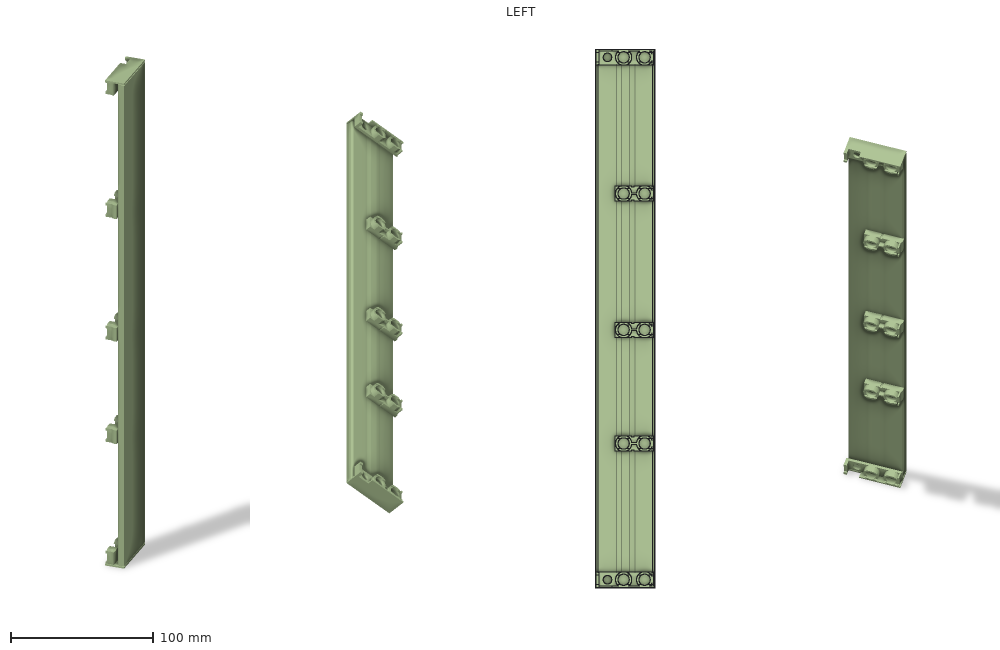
import cadquery as cq
LENGTH = 378.5
WIDTH = 41.5
DEPTH = 14.5
HALF_WIDTH = WIDTH / 2

RAIL_END_Z = 2.0
RAIL_BACK_LIP = 1.0
RAIL_SIDE_INSET = 0.5
RIDGE_X = 8.7
RAIL_FRONT_X = 9.0
RIDGE_FOOT_UPPER_Y = 6.0
RIDGE_TOP_UPPER_Y = 2.5
RIDGE_TOP_LOWER_Y = -3.0
RIDGE_FOOT_LOWER_Y = -7.0
RAIL_BEVEL = 1.0

PIN_DIAMETER = 2.7
PIN_TIP_Z = 7.5
PIN_X = 10.5
PIN_YS = (18.5, 6.5, -5.3, -17.8)

SOCKET_YS = (1.0, -13.5)
SOCKET_BORE = 8.0
SOCKET_RADIUS = 5.5
CLIP_HALF_HEIGHT = 5.3
CHANNEL_DEPTH = 1.0
CHANNEL_HALF_HEIGHT = 3.5

PLATE_FRONT_X = 4.5
PLATE_BACK_X = 6.5
PLATE_BEVEL_Y = 1.02
WALL_Y = -HALF_WIDTH + PLATE_BEVEL_Y
WALL_THICKNESS = 0.95
PAD_UPPER_Y = 7.2
PAD_GAP = (-4.5, -6.0)
NECK_HALF_HEIGHT = 4.5
RIB_THICKNESS = 1.0

BRACKET_AXIS_Z = 5.5
CAP_THICKNESS = 1.2
CAP_FRONT_X = 4.0
CAP_STEP_Y = 9.5
ARM_THICKNESS = 2.3
PLATE_HOLE_DIAMETER = 6.0
PLATE_HOLE_Y = 12.5

MIDDLE_CLIP_ZS = (101.5, 181.3, 277.0)


def block(x_range, y_range, z_range):
    """A box given by its two limits along each axis."""
    (x0, x1), (y0, y1), (z0, z1) = (sorted(limits) for limits in (x_range, y_range, z_range))
    return cq.Workplane("XY").box(x1 - x0, y1 - y0, z1 - z0, centered=False).translate((x0, y0, z0))


def rod(diameter, x_range, y, z):
    """A cylinder along X."""
    x0, x1 = x_range
    return cq.Workplane("YZ", origin=(x0, y, z)).circle(diameter / 2).extrude(x1 - x0)


def mirrored_to_top(lower):
    """The mirror image, at the top end, of something at the bottom end."""
    return lower.mirror("XY", (0, 0, LENGTH / 2))


def pins(start_z):
    """The row of pins at the bottom end, from a given height up to their tips."""
    centres = [(PIN_X, y) for y in PIN_YS]
    base = cq.Workplane("XY", origin=(0, 0, start_z)).pushPoints(centres)
    return base.circle(PIN_DIAMETER / 2).extrude(PIN_TIP_Z - start_z)


def rail():
    """The bar, with holes in both ends for the pins."""
    side = HALF_WIDTH - RAIL_SIDE_INSET
    lip_x = DEPTH - RAIL_BACK_LIP
    section = [
        (DEPTH, HALF_WIDTH),
        (lip_x, HALF_WIDTH),
        (lip_x, side),
        (RAIL_FRONT_X + RAIL_BEVEL, side),
        (RAIL_FRONT_X, side - RAIL_BEVEL),
        (RAIL_FRONT_X, RIDGE_FOOT_UPPER_Y),
        (RIDGE_X, RIDGE_TOP_UPPER_Y),
        (RIDGE_X, RIDGE_TOP_LOWER_Y),
        (RAIL_FRONT_X, RIDGE_FOOT_LOWER_Y),
        (RAIL_FRONT_X, RAIL_BEVEL - side),
        (RAIL_FRONT_X + RAIL_BEVEL, -side),
        (lip_x, -side),
        (lip_x, -HALF_WIDTH),
        (DEPTH, -HALF_WIDTH),
    ]
    base = cq.Workplane("XY", origin=(0, 0, RAIL_END_Z))
    bar = base.polyline(section).close().extrude(LENGTH - 2 * RAIL_END_Z)
    lower_holes = pins(RAIL_END_Z)
    return bar.cut(lower_holes).cut(mirrored_to_top(lower_holes))


def plate(upper_y, z_range):
    """A plate across the rail whose -Y edge slopes outward to the back."""
    outline = [
        (PLATE_FRONT_X, upper_y),
        (PLATE_FRONT_X, WALL_Y),
        (PLATE_BACK_X, -HALF_WIDTH),
        (PLATE_BACK_X, upper_y),
    ]
    z0, z1 = z_range
    return cq.Workplane("XY", origin=(0, 0, z0)).polyline(outline).close().extrude(z1 - z0)


def add_sockets(body, z, z_range):
    """Add the two tubes and the -Y end wall to a plate, then cut the bores and the front channel."""
    flats = block((0, PLATE_FRONT_X), (-HALF_WIDTH, HALF_WIDTH), (z - CLIP_HALF_HEIGHT, z + CLIP_HALF_HEIGHT))
    for y in SOCKET_YS:
        body = body.union(rod(2 * SOCKET_RADIUS, (0, PLATE_FRONT_X), y, z).intersect(flats))
    body = body.union(block((0, PLATE_FRONT_X), (WALL_Y, WALL_Y + WALL_THICKNESS), z_range))
    for y in SOCKET_YS:
        body = body.cut(rod(SOCKET_BORE, (0, PLATE_FRONT_X), y, z))
    channel_z = (z - CHANNEL_HALF_HEIGHT, z + CHANNEL_HALF_HEIGHT)
    return body.cut(block((0, CHANNEL_DEPTH), (-HALF_WIDTH, HALF_WIDTH), channel_z))


def middle_clip(z):
    """A clip between the ends, standing on the ridge of the rail."""
    z_range = (z - CLIP_HALF_HEIGHT, z + CLIP_HALF_HEIGHT)
    foot = block((PLATE_BACK_X, RIDGE_X), (-HALF_WIDTH, PAD_UPPER_Y), z_range)
    body = plate(PAD_UPPER_Y, z_range).union(foot)
    for side in (1, -1):
        notch_z = (z + side * NECK_HALF_HEIGHT, z + side * CLIP_HALF_HEIGHT)
        body = body.cut(block((PLATE_FRONT_X, RIDGE_X), PAD_GAP, notch_z))
    rib_ends = (SOCKET_YS[0] - SOCKET_BORE / 2, SOCKET_YS[1] + SOCKET_BORE / 2)
    rib = block((CHANNEL_DEPTH, PLATE_FRONT_X), rib_ends, (z - RIB_THICKNESS / 2, z + RIB_THICKNESS / 2))
    return add_sockets(body.union(rib), z, z_range)


def bottom_bracket():
    """The bracket whose cap covers the lower end of the rail."""
    z = BRACKET_AXIS_Z
    z_range = (0, z + CLIP_HALF_HEIGHT)
    body = plate(HALF_WIDTH, z_range)
    body = body.union(block((CAP_FRONT_X, DEPTH), (-HALF_WIDTH, HALF_WIDTH), (0, CAP_THICKNESS)))
    body = body.union(block((0, CAP_FRONT_X), (-HALF_WIDTH, CAP_STEP_Y), (0, CAP_THICKNESS)))
    body = body.union(block((0, PLATE_FRONT_X), (HALF_WIDTH - ARM_THICKNESS, HALF_WIDTH), z_range))
    body = add_sockets(body, z, z_range)
    body = body.union(pins(CAP_THICKNESS))
    return body.cut(rod(PLATE_HOLE_DIAMETER, (PLATE_FRONT_X, PLATE_BACK_X), PLATE_HOLE_Y, z))


lower_bracket = bottom_bracket()
end_brackets = [lower_bracket, mirrored_to_top(lower_bracket)]
middle_clips = [middle_clip(z) for z in MIDDLE_CLIP_ZS]
bodies = [rail()] + end_brackets + middle_clips
result = cq.Compound.makeCompound([solid for body in bodies for solid in body.solids().vals()])